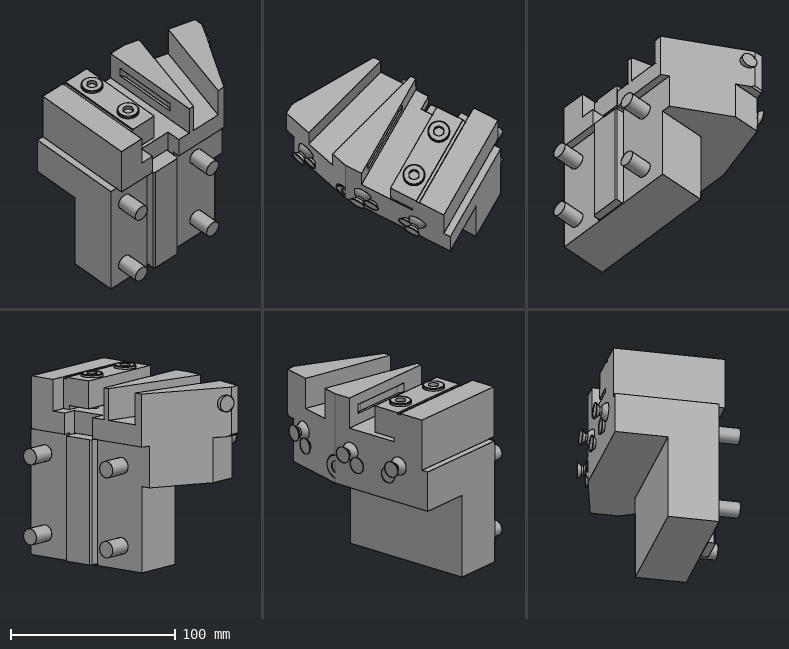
import cadquery as cq
import math


BODY_RIGHT = 69.9
BODY_FRONT = 4.5
BODY_TOP = 112.7
REAR_FLAT = 120.3
REAR_FLAT_END_X = 19.0
REAR_RIGHT_Y = 90.6
BEND_Y = 72.7
SLOT_ANGLE = 15.0
LEDGE_Z = 79.7
LOWER_RIGHT = 65.1
LOWER_BOTTOM = 53.9

UNDERCUT_Y = 114.3
UNDERCUT_TOP = 82.0
UNDERCUT_CHAMFER = 1.2

BASE_LEFT = 33.1
BASE_REAR = 87.3

SLOT_WIDTH = 20.0
SLOT_FLOOR = 92.9
SLOT1_FRONT = 41.4
SLOT2_START = 10.5
CLAMP_GAP_HEIGHT = 2.4
CLAMP_GAP_FRONT = 26.3

JAW_RIGHT = 59.9
JAW_FRONT = 21.5
GROOVE_WIDTH = 2.1
GROOVE_DEPTH = 1.0

KEY_LEFT = 60.3
KEY_RIGHT = 70.4
KEY_BOTTOM = 0.8
KEY_TOP = 79.0
KEY_CENTER_Y = 41.5
KEY_WIDTH = 20.1
KEY_CHAMFER = 1.0
KEY_NOTCH_WIDTH = 22.1

POCKET_LEFT = 8.2
POCKET_RIGHT = 52.9
POCKET_BOTTOM = 100.0
POCKET_HEIGHT = 6.0
POCKET_DEPTH = 1.7
POCKET_CORNER = 4.5

PIN_RADIUS = 5.1
PIN_END = 80.1
PIN_YS = (11.5, 71.3)
PIN_ZS = (14.9, 64.8)

STUD_RADIUS = 5.1
STUD_RIM = 0.4
STUD_NECK_RADIUS = 2.7
STUD_LENGTH = 7.5
STUD_NECK_END = 3.5
DOME_RADIUS = 5.8
SHORT_STUD_LENGTH = 2.4
STUD_Z = 77.9
SHORT_STUD_Z = 71.0
STUD_YS = (22.7, 60.5)
SHORT_STUD_YS = (29.4, 53.7)
ANGLED_STUD_DISTANCE = 32.5
ANGLED_SHORT_STUD_DISTANCE = 28.0
ANGLED_SHORT_STUD_Z = 69.6

CLAMP_SCREW_XS = (14.0, 46.0)
CLAMP_SCREW_Y = 32.6
HEAD_RADIUS = 6.7
HEAD_HEIGHT = 1.7
HEAD_CHAMFER = 0.5
SOCKET_RADIUS = 3.2
SOCKET_DEPTH = 2.4
SHANK_RADIUS = 4.1
SIDE_HEAD_RADIUS = 8.0
SIDE_SOCKET_RADIUS = 4.1
SIDE_SOCKET_DEPTH = 3.6
REAR_SCREW_CENTER = (22.9, 120.0, 102.9)
REAR_SCREW_RADIUS = 5.1
REAR_SCREW_LENGTH = 14.5

SIN = math.sin(math.radians(SLOT_ANGLE))
COS = math.cos(math.radians(SLOT_ANGLE))
ALONG = (SIN, COS)
OUTWARD = (-COS, SIN)


def block(x, y, z):
    """Box between (low, high) limits on each axis."""
    sizes = [high - low for low, high in (x, y, z)]
    return cq.Workplane("XY").box(*sizes, centered=False).translate((x[0], y[0], z[0]))


def rod(center, direction, radius, length):
    """Cylinder starting at center and running along direction."""
    return cq.Workplane(cq.Solid.makeCylinder(radius, length, cq.Vector(*center), cq.Vector(*direction)))


def on_angled_face(distance, z):
    """Point on the angled left face at a distance from the bend."""
    return (distance * ALONG[0], BEND_Y + distance * ALONG[1], z)


def body():
    reach_x = (REAR_FLAT - BEND_Y) * SIN / COS
    upper = (
        cq.Workplane("XY").workplane(offset=LOWER_BOTTOM)
        .polyline([
            (0, 0), (BODY_RIGHT, 0), (BODY_RIGHT, REAR_RIGHT_Y),
            (REAR_FLAT_END_X, REAR_FLAT), (reach_x, REAR_FLAT), (0, BEND_Y),
        ])
        .close().extrude(BODY_TOP - LOWER_BOTTOM)
    )
    front_step = block((0, BODY_RIGHT), (0, BODY_FRONT), (LEDGE_Z, BODY_TOP))
    side_step = block((LOWER_RIGHT, BODY_RIGHT), (0, REAR_FLAT), (LOWER_BOTTOM, LEDGE_Z))
    undercut = (
        cq.Workplane("YZ")
        .moveTo(UNDERCUT_Y, LOWER_BOTTOM)
        .lineTo(UNDERCUT_Y, UNDERCUT_TOP)
        .lineTo(REAR_FLAT - UNDERCUT_CHAMFER, UNDERCUT_TOP)
        .lineTo(REAR_FLAT, UNDERCUT_TOP + UNDERCUT_CHAMFER)
        .lineTo(REAR_FLAT, LOWER_BOTTOM)
        .close().extrude(BODY_RIGHT)
    )
    base = block((BASE_LEFT, LOWER_RIGHT), (0, BASE_REAR), (0, LOWER_BOTTOM))
    return upper.cut(front_step).cut(side_step).cut(undercut).union(base)


def slots():
    slot_rear = SLOT1_FRONT + SLOT_WIDTH
    straight = block((0, BODY_RIGHT), (SLOT1_FRONT, slot_rear), (SLOT_FLOOR, BODY_TOP))
    clamp_gap = block(
        (0, BODY_RIGHT), (CLAMP_GAP_FRONT, SLOT1_FRONT), (SLOT_FLOOR, SLOT_FLOOR + CLAMP_GAP_HEIGHT)
    )
    angled = (
        block((-BODY_RIGHT, 2 * BODY_RIGHT), (SLOT2_START, SLOT2_START + SLOT_WIDTH), (SLOT_FLOOR, BODY_TOP))
        .rotate((0, 0, 0), (0, 0, 1), -SLOT_ANGLE)
        .translate((0, BEND_Y, 0))
    )
    return straight.union(clamp_gap).union(angled)


def jaw_cuts():
    end_relief = block((JAW_RIGHT, BODY_RIGHT), (JAW_FRONT, SLOT1_FRONT), (SLOT_FLOOR, BODY_TOP))
    groove = block(
        (0, JAW_RIGHT), (JAW_FRONT, JAW_FRONT + GROOVE_WIDTH), (BODY_TOP - GROOVE_DEPTH, BODY_TOP)
    )
    return end_relief.union(groove)


def key_notch():
    """Keyway with side clearance, open at the top and closed below the key."""
    half = KEY_NOTCH_WIDTH / 2
    return block(
        (KEY_LEFT, BODY_RIGHT), (KEY_CENTER_Y - half, KEY_CENTER_Y + half), (KEY_BOTTOM, BODY_TOP)
    )


def key():
    half = KEY_WIDTH / 2
    bar = block((KEY_LEFT, KEY_RIGHT), (KEY_CENTER_Y - half, KEY_CENTER_Y + half), (KEY_BOTTOM, KEY_TOP))
    return bar.edges("|Z and >X").chamfer(KEY_CHAMFER)


def wall_pocket():
    """Shallow recess whose ends curve tangentially into its back."""
    wall = SLOT1_FRONT + SLOT_WIDTH
    back = wall + POCKET_DEPTH
    corner_radius = (POCKET_CORNER**2 + POCKET_DEPTH**2) / (2 * POCKET_DEPTH)
    half_sweep = math.asin(POCKET_CORNER / corner_radius) / 2
    corner_middle = (
        POCKET_RIGHT - POCKET_CORNER + corner_radius * math.sin(half_sweep),
        back - corner_radius * (1 - math.cos(half_sweep)),
    )
    return (
        cq.Workplane("XY").workplane(offset=POCKET_BOTTOM)
        .moveTo(POCKET_RIGHT - POCKET_CORNER, back)
        .lineTo(POCKET_LEFT + POCKET_CORNER, back)
        .tangentArcPoint((POCKET_LEFT, wall), relative=False)
        .lineTo(POCKET_RIGHT, wall)
        .threePointArc(corner_middle, (POCKET_RIGHT - POCKET_CORNER, back))
        .close().extrude(POCKET_HEIGHT)
    )


def stud_profile(length, dome):
    """Half section of a stud standing along local Z on its face."""
    flare = STUD_RADIUS - STUD_NECK_RADIUS
    profile = cq.Workplane("XZ").moveTo(0, 0)
    if dome:
        sphere_drop = (DOME_RADIUS**2 - STUD_NECK_RADIUS**2 - STUD_NECK_END**2) / (2 * STUD_NECK_END)
        sphere_radius = math.hypot(DOME_RADIUS, sphere_drop)
        mid_height = STUD_NECK_END / 2
        mid_radius = math.sqrt(sphere_radius**2 - (mid_height + sphere_drop) ** 2)
        profile = profile.lineTo(DOME_RADIUS, 0).threePointArc(
            (mid_radius, mid_height), (STUD_NECK_RADIUS, STUD_NECK_END)
        )
        profile = profile.lineTo(STUD_NECK_RADIUS, length - STUD_RIM - flare)
    else:
        profile = profile.lineTo(STUD_NECK_RADIUS + STUD_RIM, 0)
    return (
        profile.lineTo(STUD_RADIUS, length - STUD_RIM)
        .lineTo(STUD_RADIUS, length).lineTo(0, length)
        .close()
    )


def stud(base, outward, dome):
    length = STUD_LENGTH if dome else SHORT_STUD_LENGTH
    shape = stud_profile(length, dome).revolve(360, (0, 0, 0), (0, 1, 0)).val()
    plane = cq.Plane(origin=base, xDir=(0, 0, 1), normal=(*outward, 0))
    return cq.Workplane(shape.moved(cq.Location(plane)))


def clamp_screw(x):
    head = rod((x, CLAMP_SCREW_Y, BODY_TOP), (0, 0, 1), HEAD_RADIUS, HEAD_HEIGHT)
    head = head.faces(">Z").chamfer(HEAD_CHAMFER)
    shank = rod((x, CLAMP_SCREW_Y, SLOT_FLOOR), (0, 0, 1), SHANK_RADIUS, CLAMP_GAP_HEIGHT)
    return head.union(shank)


def clamp_socket(x):
    top = BODY_TOP + HEAD_HEIGHT
    return rod((x, CLAMP_SCREW_Y, top), (0, 0, -1), SOCKET_RADIUS, SOCKET_DEPTH)


def side_screw():
    """Screw head flush with the stud face, showing only past the bend."""
    center = (0, PIN_YS[1], PIN_ZS[1])
    head = rod(center, (1, 0, 0), SIDE_HEAD_RADIUS, SIDE_SOCKET_DEPTH)
    head = head.faces("<X").chamfer(HEAD_CHAMFER)
    return head.cut(rod(center, (1, 0, 0), SIDE_SOCKET_RADIUS, SIDE_SOCKET_DEPTH))


def rear_screw():
    return rod(REAR_SCREW_CENTER, (-ALONG[0], -ALONG[1], 0), REAR_SCREW_RADIUS, REAR_SCREW_LENGTH)


part = body().cut(slots()).cut(jaw_cuts()).cut(key_notch()).cut(wall_pocket())
part = part.union(key()).union(side_screw()).union(rear_screw())

for pin_y in PIN_YS:
    for pin_z in PIN_ZS:
        part = part.union(rod((LOWER_RIGHT, pin_y, pin_z), (1, 0, 0), PIN_RADIUS, PIN_END - LOWER_RIGHT))

for stud_y in STUD_YS:
    part = part.union(stud((0, stud_y, STUD_Z), (-1, 0), dome=True))
for stud_y in SHORT_STUD_YS:
    part = part.union(stud((0, stud_y, SHORT_STUD_Z), (-1, 0), dome=False))
part = part.union(stud(on_angled_face(ANGLED_STUD_DISTANCE, STUD_Z), OUTWARD, dome=True))
part = part.union(
    stud(on_angled_face(ANGLED_SHORT_STUD_DISTANCE, ANGLED_SHORT_STUD_Z), OUTWARD, dome=False)
)

for screw_x in CLAMP_SCREW_XS:
    part = part.union(clamp_screw(screw_x)).cut(clamp_socket(screw_x))

result = part